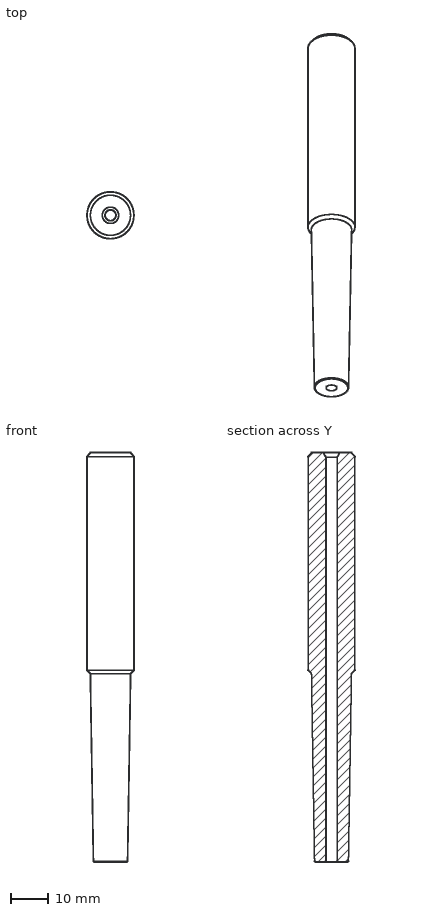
import cadquery as cq
import math

length = 110.0
shank_diameter = 12.6
shank_length = 58.5
shank_chamfer_width = 0.94
shank_chamfer_height = 1.1
taper_length = length - shank_length

taper_top_diameter = 10.9
taper_tip_diameter = 9.2
tip_chamfer = 0.2

bore_diameter = 2.9
countersink_diameter = 4.4
countersink_angle = 60.0

shank_radius = shank_diameter / 2
taper_top_radius = taper_top_diameter / 2
taper_tip_radius = taper_tip_diameter / 2
shoulder_step = shank_radius - taper_top_radius
bore_radius = bore_diameter / 2
countersink_radius = countersink_diameter / 2
countersink_depth = (countersink_radius - bore_radius) / math.tan(math.radians(countersink_angle / 2))


def make_body():
    """Revolve the chamfered shank and tapered shaft about Z."""
    return (
        cq.Workplane("XZ")
        .moveTo(0, 0)
        .lineTo(taper_tip_radius - tip_chamfer, 0)
        .lineTo(taper_tip_radius, tip_chamfer)
        .lineTo(taper_top_radius, taper_length - shoulder_step)
        .lineTo(shank_radius, taper_length)
        .lineTo(shank_radius, length - shank_chamfer_height)
        .lineTo(shank_radius - shank_chamfer_width, length)
        .lineTo(0, length)
        .close()
        .revolve(360, (0, 0, 0), (0, 1, 0))
    )


def make_bore():
    """Through bore that widens into a conical centre mouth at the shank end."""
    return (
        cq.Workplane("XZ")
        .moveTo(0, 0)
        .lineTo(bore_radius, 0)
        .lineTo(bore_radius, length - countersink_depth)
        .lineTo(countersink_radius, length)
        .lineTo(0, length)
        .close()
        .revolve(360, (0, 0, 0), (0, 1, 0))
    )


result = make_body().cut(make_bore())